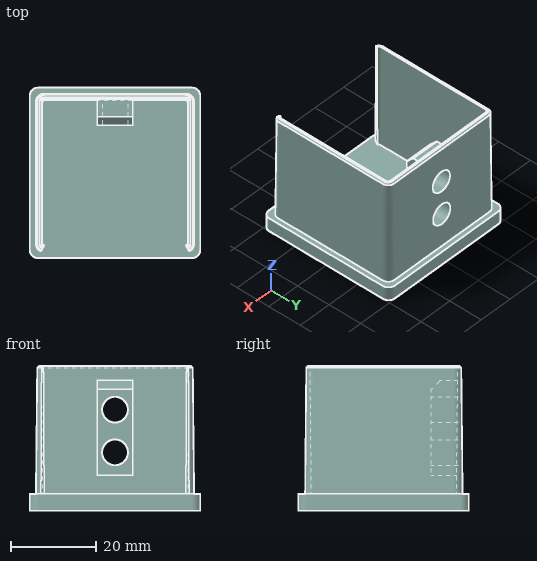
import cadquery as cq
import math

plate_side = 40.0
plate_height = 4.0
plate_corner_radius = 2.0

total_height = 34.0
wall_inset = 1.45
wall_base_thickness = 1.55
wall_draft = 0.3
wall_corner_radius = 2.0
rim_chamfer = 0.5

jamb_outer_inset = 2.55
jamb_inner_inset = 3.4

block_width = 8.2
block_bottom = 8.4
block_top = 30.55
block_front_inset = 8.9
block_chamfer = 2.1
hole_diameter = 6.0
lower_hole_height = 13.7
hole_spacing = 10.0

half_side = plate_side / 2
wall_height = total_height - plate_height
draft_angle = math.degrees(math.atan(wall_draft / wall_height))
wall_outer_side = plate_side - 2 * wall_inset
wall_inner_side = wall_outer_side - 2 * wall_base_thickness
wall_inner_radius = wall_corner_radius - wall_base_thickness


def rounded_square(side, radius):
    return cq.Sketch().rect(side, side).vertices().fillet(radius)


def make_plate():
    profile = rounded_square(plate_side, plate_corner_radius)
    return cq.Workplane("XY").placeSketch(profile).extrude(plate_height)


def drafted_prism(side, radius, angle):
    """Rounded square prism standing on the plate; a positive angle narrows it upward."""
    profile = rounded_square(side, radius)
    base = cq.Workplane("XY").workplane(offset=plate_height)
    return base.placeSketch(profile).extrude(wall_height, taper=angle)


def make_opening():
    """Trapezoid, narrowing inward, that cuts the -Y wall away between the jambs."""
    outer_y = wall_inset - half_side
    inner_y = outer_y + wall_base_thickness
    outer_x = half_side - jamb_outer_inset
    inner_x = half_side - jamb_inner_inset
    jamb_slope = (outer_x - inner_x) / (inner_y - outer_y)
    overshoot = wall_base_thickness
    front_x = outer_x + jamb_slope * overshoot
    back_x = inner_x - jamb_slope * overshoot
    front_y = outer_y - overshoot
    back_y = inner_y + overshoot
    corners = [(-front_x, front_y), (front_x, front_y), (back_x, back_y), (-back_x, back_y)]
    base = cq.Workplane("XY").workplane(offset=plate_height)
    return base.polyline(corners).close().extrude(wall_height)


def make_wall():
    outer = drafted_prism(wall_outer_side, wall_corner_radius, draft_angle)
    outer = outer.faces(">Z").chamfer(rim_chamfer)
    inner = drafted_prism(wall_inner_side, wall_inner_radius, -draft_angle)
    return outer.cut(inner).cut(make_opening())


def make_block():
    front_y = half_side - block_front_inset
    back_y = half_side - wall_inset - wall_base_thickness / 2
    side_profile = [
        (back_y, block_bottom),
        (front_y, block_bottom),
        (front_y, block_top - block_chamfer),
        (front_y + block_chamfer, block_top),
        (back_y, block_top),
    ]
    return cq.Workplane("YZ").polyline(side_profile).close().extrude(block_width / 2, both=True)


def make_holes():
    centers = [(0, lower_hole_height + i * hole_spacing) for i in range(2)]
    return cq.Workplane("XZ").pushPoints(centers).circle(hole_diameter / 2).extrude(-half_side)


result = make_plate().union(make_wall()).union(make_block()).cut(make_holes())